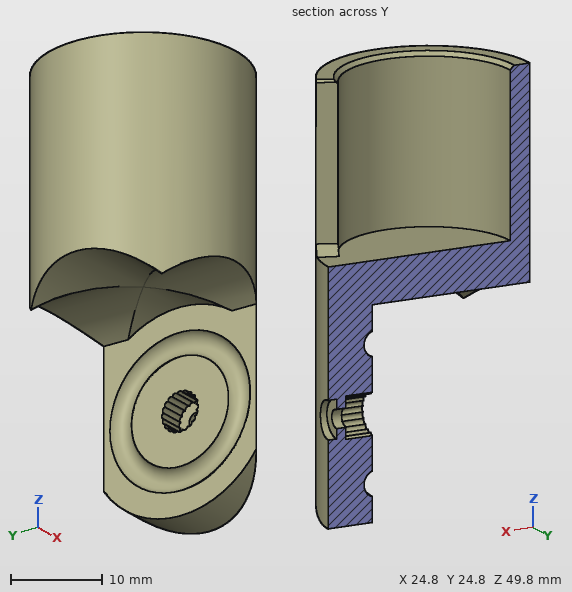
import cadquery as cq
import math

HEIGHT = 49.8
OUTER_DIAMETER = 24.8
BASE_TOP = 29.9
BORE_DIAMETER = 19.9
BORE_CHAMFER = 0.5
PLATE_INNER_X = 6.95

SLOT_FLOOR_ANGLE = 17.9
SLOT_WALL_ANGLE = 22.3
SLOT_TOP_ANGLE = 23.7
SLOT_FLARE_HEIGHT = 1.25
SLOT_TOP_CHAMFER = 0.3

GROOVE_RADIUS = 7.95
GROOVE_WIDTH = 2.9
GROOVE_DEPTH = 1.0

SCREW_DIAMETER = 2.15
COUNTERBORE_DIAMETER = 4.5
COUNTERBORE_DEPTH = 1.0
LOBE_COUNT = 20
LOBE_DIAMETER = 0.75
POCKET_TIP_RADIUS = 2.45
POCKET_DEPTH = 3.25

outer_radius = OUTER_DIAMETER / 2
cross_axis_z = outer_radius
overlap = 0.5


def screw_plane(x):
    """Workplane facing +X at the given x, centred on the screw axis."""
    return cq.Workplane("YZ", origin=(x, 0, cross_axis_z))


def make_body():
    """Vertical cylinder whose lower end is rounded about the screw axis."""
    upper = (
        cq.Workplane("XY", origin=(0, 0, cross_axis_z))
        .circle(outer_radius)
        .extrude(HEIGHT - cross_axis_z)
    )
    lower = cq.Workplane("XY").circle(outer_radius).extrude(cross_axis_z)
    rounding = screw_plane(-outer_radius).circle(outer_radius).extrude(OUTER_DIAMETER)
    return upper.union(lower.intersect(rounding))


def make_clearance():
    """Two crossing cylinders that clear everything below the base except the plate."""
    reach = outer_radius + overlap
    along_x = screw_plane(-reach).circle(outer_radius).extrude(reach + PLATE_INNER_X)
    along_y = (
        cq.Workplane("XZ", origin=(0, reach, cross_axis_z))
        .circle(outer_radius)
        .extrude(2 * reach)
    )
    inner_side = (
        cq.Workplane("XY", origin=(-reach, 0, 0))
        .box(reach + PLATE_INNER_X, 2 * reach, HEIGHT, centered=(False, True, False))
    )
    return along_x.union(along_y.intersect(inner_side))


def make_bore():
    """Socket bore with a chamfered mouth."""
    bore_radius = BORE_DIAMETER / 2
    mouth_radius = bore_radius + BORE_CHAMFER
    return (
        cq.Workplane("XZ")
        .moveTo(0, BASE_TOP)
        .lineTo(bore_radius, BASE_TOP)
        .lineTo(bore_radius, HEIGHT - BORE_CHAMFER)
        .lineTo(mouth_radius, HEIGHT)
        .lineTo(0, HEIGHT)
        .close()
        .revolve(360, (0, 0), (0, 1))
    )


def slot_section(bottom, top, bottom_angle, top_angle):
    """Wedge about the Z axis whose half-angle changes from bottom to top."""
    reach = outer_radius + overlap

    def corners(angle):
        half_width = reach * math.tan(math.radians(angle))
        return [(0, 0), (reach, -half_width), (reach, half_width)]

    return (
        cq.Workplane("XY", origin=(0, 0, bottom))
        .polyline(corners(bottom_angle))
        .close()
        .workplane(offset=top - bottom)
        .polyline(corners(top_angle))
        .close()
        .loft(ruled=True)
    )


def make_slot():
    """Radial-sided slot, narrowing to its floor and chamfered at its top."""
    flare_top = BASE_TOP + SLOT_FLARE_HEIGHT
    chamfer_bottom = HEIGHT - SLOT_TOP_CHAMFER
    flare = slot_section(BASE_TOP, flare_top, SLOT_FLOOR_ANGLE, SLOT_WALL_ANGLE)
    walls = slot_section(flare_top, chamfer_bottom, SLOT_WALL_ANGLE, SLOT_WALL_ANGLE)
    chamfer = slot_section(chamfer_bottom, HEIGHT, SLOT_WALL_ANGLE, SLOT_TOP_ANGLE)
    return flare.union(walls).union(chamfer)


def make_groove():
    """Ring groove of circular-arc section around the screw axis."""
    inner = GROOVE_RADIUS - GROOVE_WIDTH / 2
    outer = GROOVE_RADIUS + GROOVE_WIDTH / 2
    return (
        cq.Workplane("XY", origin=(PLATE_INNER_X, 0, cross_axis_z))
        .moveTo(0, inner)
        .threePointArc((GROOVE_DEPTH, GROOVE_RADIUS), (0, outer))
        .close()
        .revolve(360, (0, 0), (1, 0))
    )


def make_screw_seat():
    """Through hole, lobed pocket in the inner face and counterbore in the outer face."""
    hole = screw_plane(PLATE_INNER_X).circle(SCREW_DIAMETER / 2).extrude(outer_radius)
    counterbore = (
        screw_plane(outer_radius - COUNTERBORE_DEPTH)
        .circle(COUNTERBORE_DIAMETER / 2)
        .extrude(COUNTERBORE_DEPTH + overlap)
    )
    lobe_ring_radius = POCKET_TIP_RADIUS - LOBE_DIAMETER / 2
    pocket = screw_plane(PLATE_INNER_X).circle(lobe_ring_radius).extrude(POCKET_DEPTH)
    lobes = (
        screw_plane(PLATE_INNER_X)
        .polarArray(lobe_ring_radius, 0, 360, LOBE_COUNT)
        .circle(LOBE_DIAMETER / 2)
        .extrude(POCKET_DEPTH)
    )
    return hole.union(counterbore).union(pocket).union(lobes)


result = (
    make_body()
    .cut(make_clearance())
    .cut(make_bore())
    .cut(make_slot())
    .cut(make_groove())
    .cut(make_screw_seat())
)